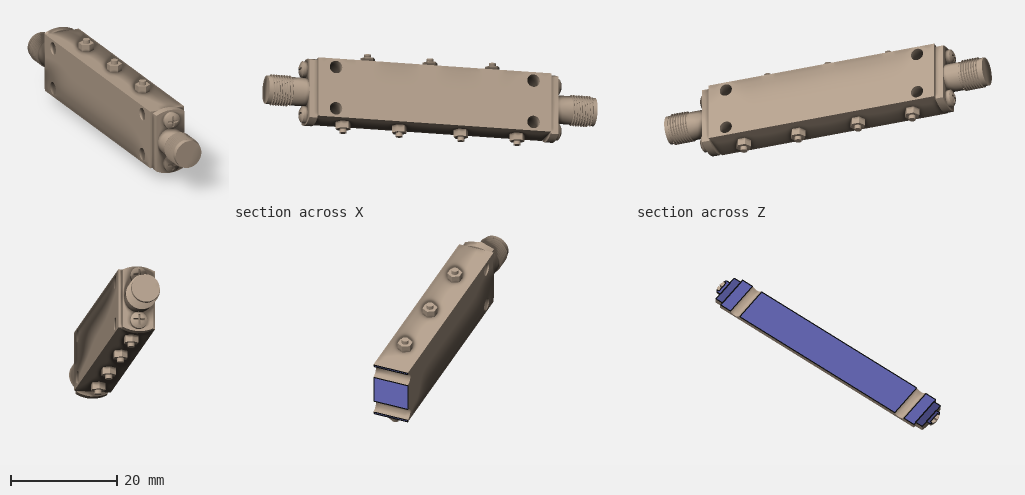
import cadquery as cq
import math

LENGTH = 63.8
HOUSING_LENGTH = 45.3
HOUSING_WIDTH = 7.0
HOUSING_HEIGHT = 11.35
MOUNT_HOLE_DIAMETER = 2.4
MOUNT_HOLE_PITCH_X = 38.4
MOUNT_HOLE_PITCH_Z = 8.05

HEIGHT_OVER_STUDS = 15.5
NUT_ACROSS_CORNERS = 2.9
NUT_HEIGHT = 1.35
STUD_DIAMETER = 1.35
TOP_POST_PITCH = 12.1
TOP_POSTS_X = [-TOP_POST_PITCH, 0, TOP_POST_PITCH]
BOTTOM_POST_INNER_X = 6.0
BOTTOM_POST_OUTER_X = 16.9
BOTTOM_POSTS_X = [-BOTTOM_POST_OUTER_X, -BOTTOM_POST_INNER_X, BOTTOM_POST_INNER_X, BOTTOM_POST_OUTER_X]

CONNECTOR_AXIS_Z = -0.3
FLANGE_THICKNESS = 1.5
FLANGE_WIDTH = 5.9
FLANGE_RADIUS = 6.3
BARREL_RADIUS = 2.7

THREAD_PITCH = 0.5
THREAD_TURNS = 7.5
THREAD_SEAT_RADIUS = 2.6
THREAD_CREST_RADIUS = 2.95
THREAD_ROOT_WIDTH = 0.25
THREAD_TIP_GAP = 0.7

SCREW_OFFSET = 4.35
SCREW_HEAD_RADIUS = 1.6
SCREW_RIM_HEIGHT = 0.75
SCREW_DOME_HEIGHT = 0.6
RECESS_LENGTH = 2.2
RECESS_WIDTH = 0.4
RECESS_DEPTH = 0.75

FLANGE_BASE = HOUSING_LENGTH / 2
FLANGE_FACE = FLANGE_BASE + FLANGE_THICKNESS
BARREL_END = LENGTH / 2
SEAT_LENGTH = THREAD_PITCH * THREAD_TURNS + THREAD_ROOT_WIDTH
SEAT_START = BARREL_END - THREAD_TIP_GAP - SEAT_LENGTH


def make_post():
    """One tuning post on the housing's top face at X = 0, pointing up."""
    base = cq.Workplane("XY").workplane(offset=HOUSING_HEIGHT / 2)
    nut = base.polygon(6, NUT_ACROSS_CORNERS).extrude(NUT_HEIGHT)
    stud = base.circle(STUD_DIAMETER / 2).extrude((HEIGHT_OVER_STUDS - HOUSING_HEIGHT) / 2)
    return nut.union(stud)


def make_housing():
    """Block with four through holes, three posts above and four below."""
    housing = cq.Workplane("XY").box(HOUSING_LENGTH, HOUSING_WIDTH, HOUSING_HEIGHT)
    housing = (
        housing.faces("<Y")
        .workplane(centerOption="CenterOfBoundBox")
        .rarray(MOUNT_HOLE_PITCH_X, MOUNT_HOLE_PITCH_Z, 2, 2)
        .hole(MOUNT_HOLE_DIAMETER)
    )
    top_post = make_post()
    bottom_post = top_post.rotate((0, 0, 0), (1, 0, 0), 180)
    for x in TOP_POSTS_X:
        housing = housing.union(top_post.translate((x, 0, 0)))
    for x in BOTTOM_POSTS_X:
        housing = housing.union(bottom_post.translate((x, 0, 0)))
    return housing




def make_connector():
    """Flange with two flat sides and two round ends, carrying a solid barrel with a thread seat."""
    half_width = FLANGE_WIDTH / 2
    corner = math.sqrt(FLANGE_RADIUS**2 - half_width**2)
    flange = (
        cq.Workplane("XY")
        .workplane(offset=FLANGE_BASE)
        .moveTo(corner, -half_width)
        .threePointArc((FLANGE_RADIUS, 0), (corner, half_width))
        .lineTo(-corner, half_width)
        .threePointArc((-FLANGE_RADIUS, 0), (-corner, -half_width))
        .close()
        .extrude(FLANGE_THICKNESS)
    )
    barrel = (
        cq.Workplane("XY")
        .workplane(offset=FLANGE_FACE)
        .circle(BARREL_RADIUS)
        .extrude(BARREL_END - FLANGE_FACE)
    )
    seat = (
        cq.Workplane("XY")
        .workplane(offset=SEAT_START)
        .circle(BARREL_RADIUS)
        .circle(THREAD_SEAT_RADIUS)
        .extrude(SEAT_LENGTH)
    )
    return flange.union(barrel).cut(seat)


def make_thread():
    """Helical ridge whose root lies on the floor of the thread seat."""
    helix = cq.Wire.makeHelix(THREAD_PITCH, THREAD_PITCH * THREAD_TURNS, THREAD_SEAT_RADIUS)
    half_root = THREAD_ROOT_WIDTH / 2
    section = [
        (THREAD_SEAT_RADIUS, -half_root),
        (THREAD_CREST_RADIUS, 0),
        (THREAD_SEAT_RADIUS, half_root),
    ]
    ridge = cq.Workplane("XZ").polyline(section).close().sweep(cq.Workplane(helix), isFrenet=True)
    return ridge.translate((0, 0, SEAT_START + half_root))


def make_screw_head():
    """Domed head with a cross recess, resting on the flange face, on the connector axis."""
    total_height = SCREW_RIM_HEIGHT + SCREW_DOME_HEIGHT
    dome_radius = (SCREW_HEAD_RADIUS**2 + SCREW_DOME_HEIGHT**2) / (2 * SCREW_DOME_HEIGHT)
    half_angle = math.asin(SCREW_HEAD_RADIUS / dome_radius) / 2
    dome_middle = (
        dome_radius * math.sin(half_angle),
        total_height - dome_radius * (1 - math.cos(half_angle)),
    )
    head = (
        cq.Workplane("XZ")
        .lineTo(SCREW_HEAD_RADIUS, 0)
        .lineTo(SCREW_HEAD_RADIUS, SCREW_RIM_HEIGHT)
        .threePointArc(dome_middle, (0, total_height))
        .close()
        .revolve(360, (0, 0), (0, 1))
    )
    for length_x, length_y in [(RECESS_LENGTH, RECESS_WIDTH), (RECESS_WIDTH, RECESS_LENGTH)]:
        slot = (
            cq.Workplane("XY")
            .workplane(offset=total_height - RECESS_DEPTH)
            .rect(length_x, length_y)
            .extrude(RECESS_DEPTH)
        )
        head = head.cut(slot)
    return head.translate((0, 0, FLANGE_FACE))


def place(body, side):
    """Turn a connector part to the -X end (side -1) or the +X end (side 1)."""
    return body.rotate((0, 0, 0), (0, 1, 0), 90 * side).translate((0, 0, CONNECTOR_AXIS_Z))


housing = make_housing()
connector = make_connector()
thread = make_thread()
screw_head = make_screw_head()

bodies = [housing.solids().val()]
for side in (-1, 1):
    bodies.append(place(connector, side).solids().val())
    bodies.append(place(thread, side).solids().val())
    for offset in (-SCREW_OFFSET, SCREW_OFFSET):
        bodies.append(place(screw_head.translate((offset, 0, 0)), side).solids().val())

result = cq.Compound.makeCompound(bodies)